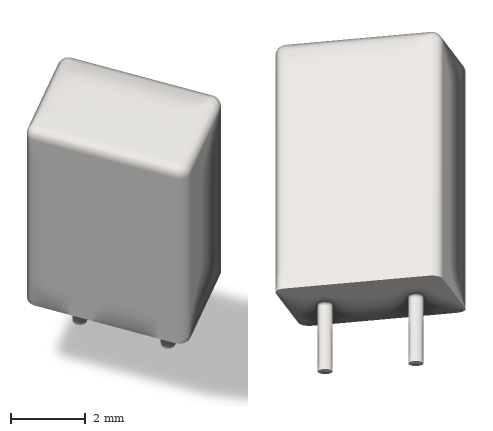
import cadquery as cq

body_width = 4.6
body_depth = 3.0
total_height = 8.9

pin_length = 1.9
pin_diameter = 0.4
pin_spacing = 2.5

body_height = total_height - pin_length
edge_radius = 0.3


def make_body():
    """Box standing on Z = 0, rounded on its upright and top edges."""
    box = cq.Workplane("XY").box(body_width, body_depth, body_height, centered=(True, True, False))
    return box.edges("|Z or >Z").fillet(edge_radius)


def make_pins():
    """Two round pins hanging below the base, spaced along X."""
    return (
        cq.Workplane("XY")
        .rarray(pin_spacing, 0.09, 2, 1)
        .circle(pin_diameter / 2)
        .extrude(-pin_length)
    )


result = make_body().union(make_pins())